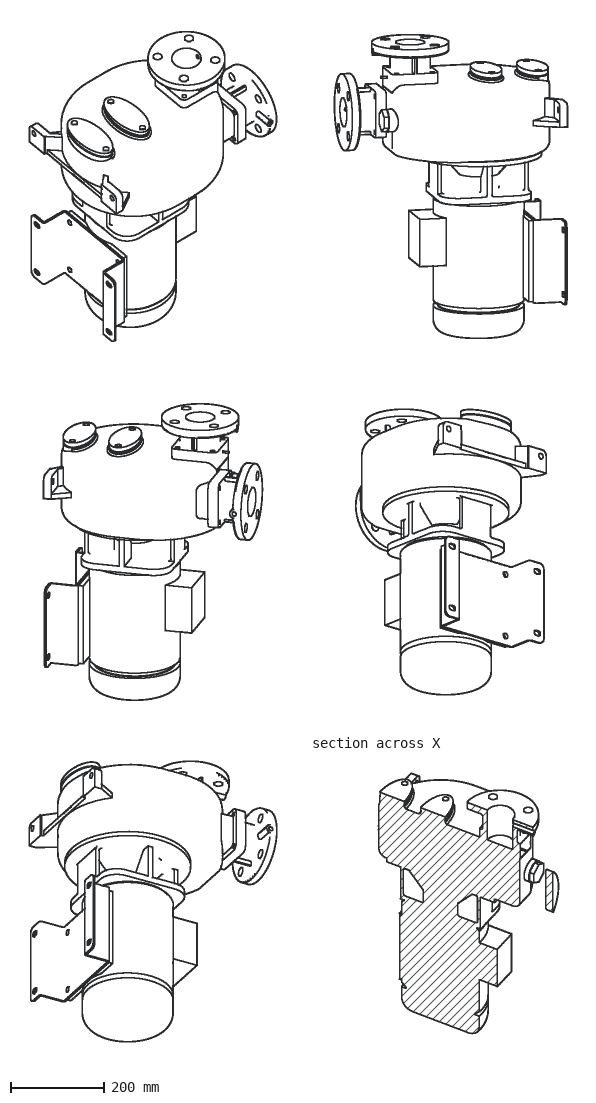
import cadquery as cq
import math


MOTOR_R = 97.5
FAN_COVER_TOP = 58.5
FAN_COVER_ROUND = 28.0
NECK_R = 87.0
NECK_TOP = 70.5
MOTOR_TOP = 299.5
MOTOR_TOP_CHAMFER = 6.0
BOX_HALF_WIDTH = 51.0
BOX_BACK_Y = 141.5
BOX_BOTTOM, BOX_TOP = 158.5, 262.0

LANTERN_HALF = 100.0
LANTERN_BASE_THICK = 14.0
LANTERN_BASE_CORNER_R = 40.0
LANTERN_TOP = 387.5
LANTERN_FILLET = 5.0
SELECT_MARGIN = 1.0
WEB_THICK = 11.0
WALL_WIDTH = 80.0
WALL_THICK = 8.0
HUB_R = 44.0
HUB_CONE_BOTTOM = 347.0
HUB_TOP_R = 80.0
DISC_R = 135.0

CASING_X = 9.25
CASING_R = 154.25
CASING_BACK_ARC_Y = 50.5
CASING_BOTTOM, CASING_TOP = 397.5, 555.0
CASING_FILLET = 19.0
TOP_Z = 637.5
BACK_Y = 281.0

FITTING_H = TOP_Z - CASING_TOP
CASING_FLAT_Y = BACK_Y - FITTING_H
FITTING_BASE = 102.0
FITTING_BASE_THICK = 23.0
FITTING_CORNER_R = 12.0
FITTING_PIPE_R = 43.5
FITTING_PIPE_FILLET = 5.0
FITTING_RIB_ROOT, FITTING_RIB_TIP = 11.0, 4.0
FITTING_BORE = 62.5
FLANGE_R = 82.5
FLANGE_THICK = 19.0
FLANGE_FILLET = 3.0
TAP_R, TAP_HOLE, TAP_HEIGHT = 10.0, 9.0, 67.5
FLANGE_BOLT_CIRCLE, FLANGE_BOLT_HOLE = 124.0, 19.0
STUD_SPACING, STUD_HOLE = 78.0, 9.0
DISCHARGE_Y = 148.5
DISCHARGE_BOSS_DEPTH = 18.0
SUCTION_X, SUCTION_Z = 69.3, 479.0
SUCTION_BOSS_WIDTH = 77.5
REAR_BOSS_FRONT_Y = 120.0

PLUG_X, PLUG_Z = -31.5, 477.0
PLUG_BOSS_R = 24.5
PLUG_BOSS_END_Y = 210.0
PLUG_HEX_CORNER_R = 24.2
PLUG_HEX_H = 11.0
PIN_R, PIN_LENGTH, PIN_Z = 2.0, 13.0, 563.5

COVER_CENTRES_Y = (-18.5, -120.5)
COVER_HALF_X, COVER_HALF_Y = 66.0, 31.0
COVER_BASE_TOP = 562.5
COVER_GAP, COVER_GAP_INSET = 1.5, 1.0
COVER_TOP = 574.0
COVER_BASE_ROOT = 530.0
COVER_SKIRT = 4.0
COVER_HOLE, COVER_HOLE_DEPTH = 12.5, 10.0
COVER_HOLE_SPACING = 105.0

FRONT_Y = -161.0
FOOT_OUTER_X, FOOT_INNER_X = 145.0, 95.0
FOOT_THICK = 17.0
FOOT_BOTTOM, FOOT_TOP = 467.5, 518.5
FOOT_CORNER_R = 12.0
FOOT_HOLE, FOOT_HOLE_X, FOOT_HOLE_Z = 12.0, 130.0, 503.0
SHELF_THICK = 11.5
SHELF_FRONT_Y = -155.0
SHELF_BACK_X, SHELF_BACK_Y = 112.5, -90.0
STRUT_THICK = 10.0
STRUT_RUN = 38.0

SHEET = 4.0
BEND_IN = 2.0
BEND_OUT = BEND_IN + SHEET
BRACKET_HALF_WIDTH = 138.5
BRACKET_LEG_X = 97.0
BRACKET_BACK_Y = -98.5
BRACKET_BOTTOM, BRACKET_TOP = 77.0, 258.5
BRACKET_CORNER_R = 12.0
PAD_HALF_WIDTH, PAD_BACK_Y, PAD_END_GAP = 92.0, -88.0, 2.0
SLOT_LENGTH, SLOT_WIDTH, SLOT_X = 17.0, 11.0, 119.8
BRACKET_HOLE, BRACKET_HOLE_X, BRACKET_HOLE_DEPTH = 12.0, 80.3, 8.0
BRACKET_HOLE_PITCH_Z = 140.5


def box(x_min, x_max, y_min, y_max, z_min, z_max):
    """Axis-aligned box between two corners."""
    size = (x_max - x_min, y_max - y_min, z_max - z_min)
    return cq.Workplane("XY").box(*size, centered=False).translate((x_min, y_min, z_min))


def back_plane(x, y, z):
    """Plane facing +Y, with local x along Z and local y along X."""
    return cq.Workplane(cq.Plane(origin=(x, y, z), xDir=(0, 0, 1), normal=(0, 1, 0)))


def square_of_pins(spacing, diameter, z_min, z_max):
    """Four round pins at the corners of a square, used to cut bolt holes."""
    corners = cq.Workplane("XY", origin=(0, 0, z_min)).rarray(spacing, spacing, 2, 2)
    return corners.circle(diameter / 2).extrude(z_max - z_min)


def make_motor():
    neck_bottom = NECK_TOP - (MOTOR_R - NECK_R)
    profile = (
        cq.Workplane("XZ")
        .lineTo(MOTOR_R - FAN_COVER_ROUND, 0)
        .radiusArc((MOTOR_R, FAN_COVER_ROUND), -FAN_COVER_ROUND)
        .lineTo(MOTOR_R, FAN_COVER_TOP)
        .lineTo(NECK_R, FAN_COVER_TOP)
        .lineTo(NECK_R, neck_bottom)
        .lineTo(MOTOR_R, NECK_TOP)
        .lineTo(MOTOR_R, MOTOR_TOP - MOTOR_TOP_CHAMFER)
        .lineTo(MOTOR_R - MOTOR_TOP_CHAMFER, MOTOR_TOP)
        .lineTo(0, MOTOR_TOP)
        .close()
    )
    terminal_box = box(-BOX_HALF_WIDTH, BOX_HALF_WIDTH, 0, BOX_BACK_Y, BOX_BOTTOM, BOX_TOP)
    return profile.revolve(360, (0, 0, 0), (0, 1, 0)).union(terminal_box)


def make_lantern():
    base_top = MOTOR_TOP + LANTERN_BASE_THICK
    outline = (
        cq.Workplane("XY", origin=(0, 0, MOTOR_TOP))
        .rect(2 * LANTERN_HALF, 2 * LANTERN_HALF)
        .extrude(CASING_BOTTOM - MOTOR_TOP)
        .edges("|Z")
        .fillet(LANTERN_BASE_CORNER_R)
    )
    hub = (
        cq.Workplane("XZ")
        .moveTo(0, MOTOR_TOP)
        .lineTo(HUB_R, MOTOR_TOP)
        .lineTo(HUB_R, HUB_CONE_BOTTOM)
        .lineTo(HUB_TOP_R, LANTERN_TOP)
        .lineTo(0, LANTERN_TOP)
        .close()
        .revolve(360, (0, 0, 0), (0, 1, 0))
    )
    half_web = WEB_THICK / 2
    half_wall = WALL_WIDTH / 2
    wall_inner = LANTERN_HALF - WALL_THICK
    reach = LANTERN_HALF + 3 * LANTERN_FILLET
    frame = box(-reach, reach, -reach, reach, MOTOR_TOP, base_top).union(hub)
    frame = frame.union(box(-reach, reach, -reach, reach, LANTERN_TOP, CASING_BOTTOM))
    frame = frame.union(box(-reach, reach, -half_web, half_web, MOTOR_TOP, LANTERN_TOP))
    frame = frame.union(box(-half_web, half_web, -reach, reach, MOTOR_TOP, LANTERN_TOP))
    frame = frame.union(box(-half_wall, half_wall, -reach, -wall_inner, MOTOR_TOP, LANTERN_TOP))
    frame = frame.union(box(-half_wall, half_wall, wall_inner, reach, MOTOR_TOP, LANTERN_TOP))
    joint_x = half_web + SELECT_MARGIN
    joint_y = wall_inner + SELECT_MARGIN
    wall_joints = cq.selectors.BoxSelector(
        (-joint_x, -joint_y, base_top), (joint_x, joint_y, LANTERN_TOP)
    )
    frame = frame.edges("|Z").edges(wall_joints).fillet(LANTERN_FILLET)
    for plate_z in (base_top, LANTERN_TOP):
        low = plate_z - SELECT_MARGIN
        high = plate_z + SELECT_MARGIN
        plate_face = cq.selectors.BoxSelector((-reach, -reach, low), (reach, reach, high))
        plate_joints = frame.edges(plate_face).edges("not(<X or >X or <Y or >Y)")
        frame = plate_joints.fillet(LANTERN_FILLET)
    disc = cq.Workplane("XY", origin=(0, 0, LANTERN_TOP)).circle(DISC_R)
    disc = disc.extrude(CASING_BOTTOM - LANTERN_TOP)
    return frame.intersect(outline).union(disc)


def make_casing():
    left = CASING_X - CASING_R
    right = CASING_X + CASING_R
    flat_half = math.sqrt(CASING_R**2 - (CASING_FLAT_Y - CASING_BACK_ARC_Y) ** 2)
    return (
        cq.Workplane("XY", origin=(0, 0, CASING_BOTTOM))
        .moveTo(left, CASING_BACK_ARC_Y)
        .lineTo(left, 0)
        .threePointArc((CASING_X, -CASING_R), (right, 0))
        .lineTo(right, CASING_BACK_ARC_Y)
        .radiusArc((CASING_X + flat_half, CASING_FLAT_Y), -CASING_R)
        .lineTo(CASING_X - flat_half, CASING_FLAT_Y)
        .radiusArc((left, CASING_BACK_ARC_Y), -CASING_R)
        .close()
        .extrude(CASING_TOP - CASING_BOTTOM)
        .faces("<Z or >Z")
        .edges()
        .fillet(CASING_FILLET)
    )


def make_fitting():
    """Flanged pipe stub on a square base, flowing along Z; ribs at +/-X, gauge tapping at +Y."""
    flange_bottom = FITTING_H - FLANGE_THICK
    base = cq.Workplane("XY").rect(FITTING_BASE, FITTING_BASE).extrude(FITTING_BASE_THICK)
    base = base.edges("|Z").fillet(FITTING_CORNER_R)
    pipe_foot_r = FITTING_PIPE_R + FITTING_PIPE_FILLET
    pipe_and_flange = (
        cq.Workplane("XZ")
        .lineTo(pipe_foot_r, 0)
        .lineTo(pipe_foot_r, FITTING_BASE_THICK)
        .radiusArc((FITTING_PIPE_R, FITTING_BASE_THICK + FITTING_PIPE_FILLET), FITTING_PIPE_FILLET)
        .lineTo(FITTING_PIPE_R, flange_bottom - FITTING_PIPE_FILLET)
        .radiusArc((pipe_foot_r, flange_bottom), FITTING_PIPE_FILLET)
        .lineTo(FLANGE_R - FLANGE_FILLET, flange_bottom)
        .radiusArc((FLANGE_R, flange_bottom + FLANGE_FILLET), -FLANGE_FILLET)
        .lineTo(FLANGE_R, FITTING_H)
        .lineTo(0, FITTING_H)
        .close()
        .revolve(360, (0, 0, 0), (0, 1, 0))
    )
    half_root = FITTING_RIB_ROOT / 2
    half_tip = FITTING_RIB_TIP / 2
    half_base = FITTING_BASE / 2
    rib = (
        cq.Workplane("XY", origin=(0, 0, FITTING_BASE_THICK))
        .moveTo(0, -half_root)
        .lineTo(FITTING_PIPE_R, -half_root)
        .lineTo(half_base, -half_tip)
        .lineTo(half_base, half_tip)
        .lineTo(FITTING_PIPE_R, half_root)
        .lineTo(0, half_root)
        .close()
        .extrude(flange_bottom - FITTING_BASE_THICK)
    )
    tap_axis = cq.Workplane("XZ", origin=(0, FLANGE_R, TAP_HEIGHT))
    tap_boss = tap_axis.circle(TAP_R).extrude(FLANGE_R)
    tap_boss = tap_boss.intersect(cq.Workplane("XY").circle(FLANGE_R).extrude(FITTING_H))
    bolt_pitch = FLANGE_BOLT_CIRCLE / math.sqrt(2)
    return (
        base.union(pipe_and_flange)
        .union(rib)
        .union(rib.mirror("YZ"))
        .union(tap_boss)
        .cut(square_of_pins(bolt_pitch, FLANGE_BOLT_HOLE, flange_bottom, FITTING_H))
        .cut(square_of_pins(STUD_SPACING, STUD_HOLE, 0, FITTING_BASE_THICK))
        .cut(cq.Workplane("XY").circle(FITTING_BORE / 2).extrude(FITTING_H))
        .cut(tap_axis.circle(TAP_HOLE / 2).extrude(FLANGE_R))
    )


def make_port_bosses():
    """Material under the two fittings, the hexagonal plug and the small rear pin."""
    discharge_boss = (
        cq.Workplane("XY", origin=(CASING_X, DISCHARGE_Y, CASING_TOP - DISCHARGE_BOSS_DEPTH))
        .rect(FITTING_BASE, FITTING_BASE)
        .extrude(DISCHARGE_BOSS_DEPTH)
        .edges("|Z")
        .fillet(FITTING_CORNER_R)
    )
    suction_boss = (
        back_plane(SUCTION_X, REAR_BOSS_FRONT_Y, SUCTION_Z)
        .rect(SUCTION_BOSS_WIDTH, SUCTION_BOSS_WIDTH)
        .extrude(CASING_FLAT_Y - REAR_BOSS_FRONT_Y)
        .edges("|Y")
        .fillet(FITTING_CORNER_R)
    )
    plug_boss = back_plane(PLUG_X, REAR_BOSS_FRONT_Y, PLUG_Z).circle(PLUG_BOSS_R)
    plug_boss = plug_boss.extrude(PLUG_BOSS_END_Y - REAR_BOSS_FRONT_Y)
    plug = back_plane(PLUG_X, PLUG_BOSS_END_Y, PLUG_Z).polygon(6, 2 * PLUG_HEX_CORNER_R)
    plug = plug.extrude(PLUG_HEX_H)
    pin_seat_y = DISCHARGE_Y + FITTING_BASE / 2
    pin = back_plane(CASING_X, pin_seat_y, PIN_Z).circle(PIN_R).extrude(PIN_LENGTH)
    return discharge_boss.union(suction_boss).union(plug_boss).union(plug).union(pin)


def make_cover(centre_y):
    def ellipse_at(z, grow):
        plane = cq.Workplane("XY", origin=(CASING_X, centre_y, z))
        return plane.ellipse(COVER_HALF_X + grow, COVER_HALF_Y + grow)

    lid_bottom = COVER_BASE_TOP + COVER_GAP
    base = ellipse_at(COVER_BASE_ROOT, 0).extrude(COVER_BASE_TOP - COVER_BASE_ROOT)
    gasket = ellipse_at(COVER_BASE_TOP, -COVER_GAP_INSET).extrude(COVER_GAP)
    lid = ellipse_at(lid_bottom, 0).extrude(COVER_TOP - lid_bottom)
    holes = (
        cq.Workplane("XY", origin=(CASING_X, centre_y, COVER_TOP - COVER_HOLE_DEPTH))
        .rarray(COVER_HOLE_SPACING, 1, 2, 1)
        .circle(COVER_HOLE / 2)
        .extrude(COVER_HOLE_DEPTH)
    )
    skirt = (
        ellipse_at(CASING_TOP, COVER_SKIRT)
        .workplane(offset=COVER_SKIRT)
        .ellipse(COVER_HALF_X, COVER_HALF_Y)
        .loft(ruled=True)
    )
    casing_reach = cq.Workplane("XY", origin=(CASING_X, 0, CASING_TOP))
    casing_reach = casing_reach.circle(CASING_R - CASING_FILLET).extrude(COVER_SKIRT)
    return base.union(gasket).union(lid).union(skirt.intersect(casing_reach)).cut(holes)


def make_right_foot():
    """Foot plate on the +X side, with the diagonal strut that ties it to the casing."""
    foot_back = FRONT_Y + FOOT_THICK
    foot = box(FOOT_INNER_X, FOOT_OUTER_X, FRONT_Y, foot_back, FOOT_BOTTOM, FOOT_TOP)
    foot = foot.edges("|Y and >X and >Z").fillet(FOOT_CORNER_R)
    hole = cq.Workplane("XZ", origin=(FOOT_HOLE_X, foot_back, FOOT_HOLE_Z))
    hole = hole.circle(FOOT_HOLE / 2).extrude(FOOT_THICK)
    strut_width = STRUT_THICK * math.sqrt(2)
    strut = (
        cq.Workplane("XY", origin=(0, 0, FOOT_BOTTOM))
        .moveTo(FOOT_INNER_X, foot_back)
        .lineTo(FOOT_INNER_X - STRUT_RUN, foot_back + STRUT_RUN)
        .lineTo(FOOT_INNER_X - STRUT_RUN, foot_back + STRUT_RUN - strut_width)
        .lineTo(FOOT_INNER_X, foot_back - strut_width)
        .close()
        .extrude(FOOT_TOP - FOOT_BOTTOM)
    )
    return foot.union(strut).cut(hole)


def make_feet():
    foot_back = FRONT_Y + FOOT_THICK
    shelf = (
        cq.Workplane("XY", origin=(0, 0, FOOT_BOTTOM))
        .moveTo(-FOOT_INNER_X, SHELF_FRONT_Y)
        .lineTo(FOOT_INNER_X, SHELF_FRONT_Y)
        .lineTo(FOOT_INNER_X, foot_back)
        .lineTo(FOOT_OUTER_X, foot_back)
        .lineTo(SHELF_BACK_X, SHELF_BACK_Y)
        .lineTo(-SHELF_BACK_X, SHELF_BACK_Y)
        .lineTo(-FOOT_OUTER_X, foot_back)
        .lineTo(-FOOT_INNER_X, foot_back)
        .close()
        .extrude(SHELF_THICK)
    )
    foot = make_right_foot()
    return shelf.union(foot).union(foot.mirror("YZ"))


def make_motor_bracket():
    height = BRACKET_TOP - BRACKET_BOTTOM
    middle_z = (BRACKET_TOP + BRACKET_BOTTOM) / 2
    leg_outer_x = BRACKET_LEG_X + SHEET
    web_front_y = BRACKET_BACK_Y - SHEET
    wing_back_y = FRONT_Y + SHEET
    half_hat = (
        cq.Workplane("XY", origin=(0, 0, BRACKET_BOTTOM))
        .moveTo(0, BRACKET_BACK_Y)
        .lineTo(leg_outer_x - BEND_OUT, BRACKET_BACK_Y)
        .radiusArc((leg_outer_x, BRACKET_BACK_Y - BEND_OUT), BEND_OUT)
        .lineTo(leg_outer_x, wing_back_y + BEND_IN)
        .radiusArc((leg_outer_x + BEND_IN, wing_back_y), -BEND_IN)
        .lineTo(BRACKET_HALF_WIDTH, wing_back_y)
        .lineTo(BRACKET_HALF_WIDTH, FRONT_Y)
        .lineTo(BRACKET_LEG_X + BEND_OUT, FRONT_Y)
        .radiusArc((BRACKET_LEG_X, FRONT_Y + BEND_OUT), BEND_OUT)
        .lineTo(BRACKET_LEG_X, web_front_y - BEND_IN)
        .radiusArc((BRACKET_LEG_X - BEND_IN, web_front_y), -BEND_IN)
        .lineTo(0, web_front_y)
        .close()
        .extrude(height)
    )
    half_hat = half_hat.edges("|Y and >X").fillet(BRACKET_CORNER_R)
    pad = box(
        -PAD_HALF_WIDTH, PAD_HALF_WIDTH, BRACKET_BACK_Y, PAD_BACK_Y,
        BRACKET_BOTTOM + PAD_END_GAP, BRACKET_TOP - PAD_END_GAP,
    )
    slots = (
        cq.Workplane("XZ", origin=(0, wing_back_y, middle_z))
        .rect(2 * SLOT_X, BRACKET_HOLE_PITCH_Z, forConstruction=True)
        .vertices()
        .slot2D(SLOT_LENGTH, SLOT_WIDTH)
        .extrude(SHEET)
    )
    holes = (
        cq.Workplane("XZ", origin=(0, web_front_y + BRACKET_HOLE_DEPTH, middle_z))
        .rect(2 * BRACKET_HOLE_X, BRACKET_HOLE_PITCH_Z, forConstruction=True)
        .vertices()
        .circle(BRACKET_HOLE / 2)
        .extrude(BRACKET_HOLE_DEPTH)
    )
    hat = half_hat.union(half_hat.mirror("YZ"))
    return hat.union(pad).cut(slots).cut(holes)


result = make_motor().union(make_motor_bracket()).union(make_lantern())
result = result.union(make_casing()).union(make_port_bosses()).union(make_feet())
for cover_y in COVER_CENTRES_Y:
    result = result.union(make_cover(cover_y))
fitting = make_fitting()
suction_seat = back_plane(SUCTION_X, CASING_FLAT_Y, SUCTION_Z).plane
result = result.union(fitting.translate((CASING_X, DISCHARGE_Y, CASING_TOP)))
result = result.union(cq.Workplane(fitting.val().moved(suction_seat.location)))